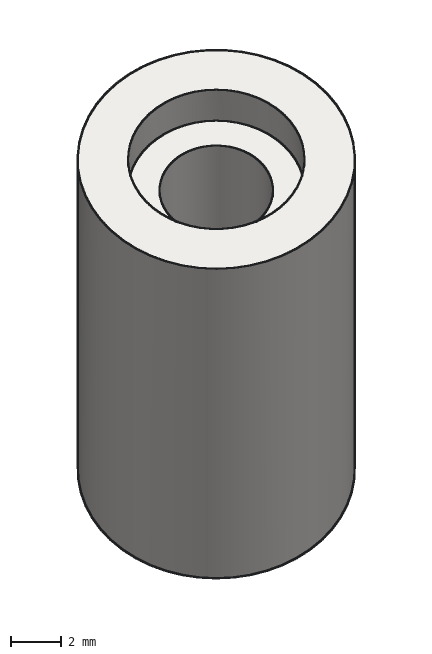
import cadquery as cq

length = 20
outer_diameter = 11

bore_diameter = 4.5
counterbore_diameter = 7
counterbore_depth = 2

sleeve = cq.Workplane("XY").circle(outer_diameter / 2).extrude(length)

result = (
    sleeve.faces(">Z")
    .workplane()
    .cboreHole(bore_diameter, counterbore_diameter, counterbore_depth)
)